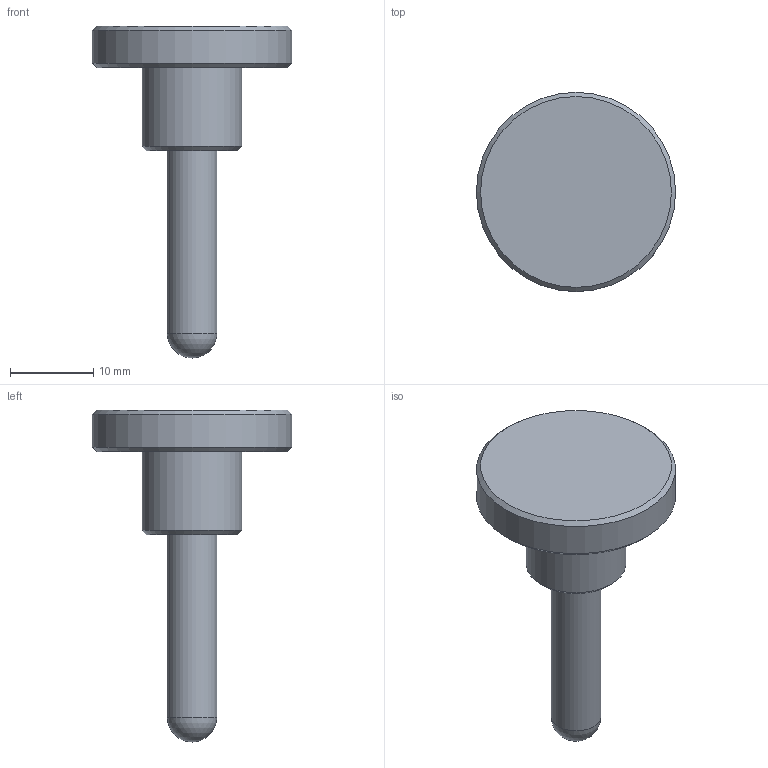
import cadquery as cq

head_diameter = 24.0
head_height = 5.0
collar_diameter = 12.0
collar_height = 10.0
pin_diameter = 6.0
pin_length = 25.0
edge_chamfer = 0.5

collar_bottom = pin_length
head_bottom = collar_bottom + collar_height


def disc(diameter, height, bottom):
    """Upright cylinder centred on the Z axis, starting at the given height."""
    return cq.Workplane("XY").workplane(offset=bottom).circle(diameter / 2).extrude(height)


def make_head():
    """Flat round head, chamfered on both rims."""
    return disc(head_diameter, head_height, head_bottom).edges("%CIRCLE").chamfer(edge_chamfer)


def make_collar():
    """Collar below the head, chamfered on its lower rim."""
    return disc(collar_diameter, collar_height, collar_bottom).faces("<Z").edges().chamfer(edge_chamfer)


def make_pin():
    """Straight pin ending in a hemisphere."""
    radius = pin_diameter / 2
    shank = disc(pin_diameter, pin_length - radius, radius)
    rounded_end = cq.Workplane("XY").sphere(radius).translate((0, 0, radius))
    return shank.union(rounded_end)


result = make_head().union(make_collar()).union(make_pin())